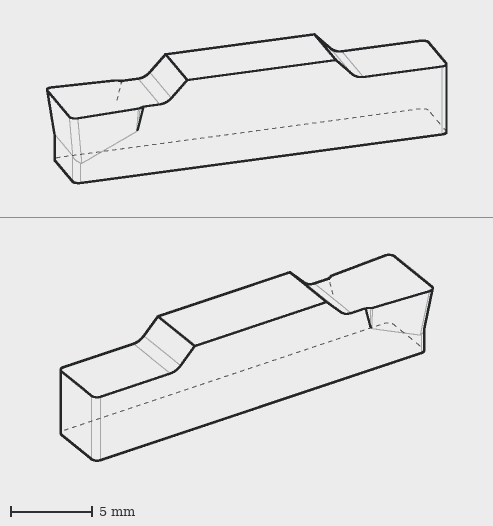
import cadquery as cq
import math

LENGTH = 24.65
HEIGHT = 5.97
CUTTING_WIDTH = 5.05
SHELF_HEIGHT = 4.58

BODY_WIDTH = 4.2
CORNER_RADIUS = 0.4

PLATFORM_FRONT = 7.68
PLATFORM_BACK = 17.35
RAMP_ANGLE = 46.0
RAMP_FILLET = 1.05

RELIEF_ANGLE = 7.0
FRONT_RELIEF_HEIGHT = 2.83
HEAD_DEPTH = 3.6
FLANK_LENGTH = 4.5
FLANK_TAPER_ANGLE = 3.25
SHOULDER_ANGLE = 30.0
SHOULDER_RADIUS = 0.25
SHOULDER_INSET = 0.9

body_front = FRONT_RELIEF_HEIGHT * math.tan(math.radians(RELIEF_ANGLE))


def make_body():
    """Bar with rounded vertical corners and a platform between two ramps."""
    ramp_run = (HEIGHT - SHELF_HEIGHT) / math.tan(math.radians(RAMP_ANGLE))
    ramp_front = PLATFORM_FRONT - ramp_run
    ramp_back = PLATFORM_BACK + ramp_run
    side_profile = [
        (body_front, 0),
        (LENGTH, 0),
        (LENGTH, SHELF_HEIGHT),
        (ramp_back, SHELF_HEIGHT),
        (PLATFORM_BACK, HEIGHT),
        (PLATFORM_FRONT, HEIGHT),
        (ramp_front, SHELF_HEIGHT),
        (body_front, SHELF_HEIGHT),
    ]
    bar = cq.Workplane("YZ").polyline(side_profile).close().extrude(BODY_WIDTH / 2, both=True)
    bar = bar.edges("|Z").fillet(CORNER_RADIUS)

    for foot in (ramp_front, ramp_back):
        foot_edge = cq.selectors.NearestToPointSelector((0, foot, SHELF_HEIGHT))
        bar = bar.edges("|X").edges(foot_edge).fillet(RAMP_FILLET)
    return bar


def make_head():
    """Flared head whose front, flanks and shoulders lean inward below the cutting edge."""
    taper = math.tan(math.radians(FLANK_TAPER_ANGLE))
    half_front = CUTTING_WIDTH / 2 + CORNER_RADIUS * taper
    half_back = half_front - FLANK_LENGTH * taper
    half_end = half_back - SHOULDER_INSET
    end = FLANK_LENGTH + SHOULDER_INSET / math.tan(math.radians(SHOULDER_ANGLE))
    outline = [
        (-half_front, 0),
        (half_front, 0),
        (half_back, FLANK_LENGTH),
        (half_end, end),
        (-half_end, end),
        (-half_back, FLANK_LENGTH),
    ]
    head = (
        cq.Workplane("XY", origin=(0, 0, SHELF_HEIGHT))
        .polyline(outline)
        .close()
        .extrude(-HEAD_DEPTH, taper=RELIEF_ANGLE)
    )
    head = head.edges("not #Z").edges("<<Y[1]").fillet(SHOULDER_RADIUS)
    return head.edges("not #Z").edges("<<Y").fillet(CORNER_RADIUS)


result = make_body().union(make_head())